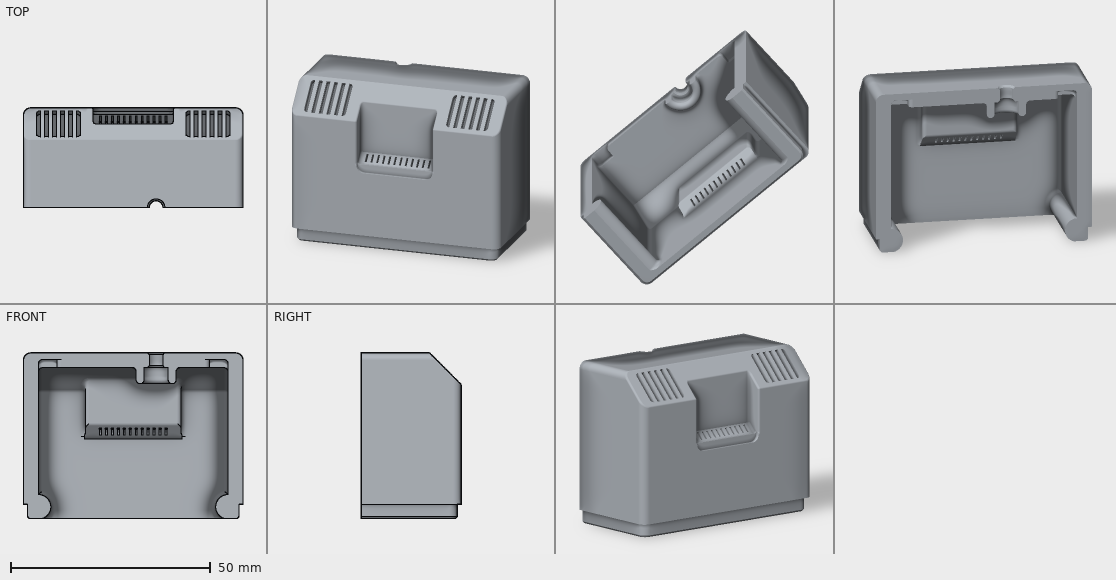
import cadquery as cq
import math

WIDTH = 55.0
DEPTH = 25.0
HEIGHT = 41.5
SIDE_WALL = 3.8
ROOF_THICKNESS = 3.75
BACK_WALL = 3.0
THIN_WALL = 2.0
OUTER_RADIUS = 1.9
INNER_RADIUS = 1.0
EDGE_RADIUS = 0.5
SLOPE_SIZE = 8.0
SLOPE_WALL = 3.3

LIP_HEIGHT = 3.6
LIP_INSET = 1.0

PIN_RADIUS = 3.1
PIN_Z = 2.95

CORNER_POCKET_INNER_X = 19.05
CORNER_POCKET_DEPTH = 3.0
CORNER_POCKET_TOP = 39.8

HOLE_X = 5.7
HOLE_RADIUS = 1.7
COLLAR_BORE_RADIUS = 3.0
COLLAR_WALL = THIN_WALL
COLLAR_RADIUS = COLLAR_BORE_RADIUS + COLLAR_WALL
COLLAR_BOTTOM = 33.75

RECESS_HALF_WIDTH = 10.0
RECESS_DEPTH = 4.0
RECESS_RADIUS = 0.55
RECESS_FLOOR_DEPTH = 1.7
RECESS_FLOOR_Z = 22.0
OPENING_DEPTH = 1.0
OPENING_DROP = THIN_WALL
OPENING_RADIUS = OPENING_DROP
UNDERSIDE_Z = 19.9
UNDERSIDE_OVERHANG = 0.15
CONTACT_COUNT = 12
CONTACT_SPAN = 16.5
CONTACT_WIDTH = 0.5
CONTACT_LENGTH = 2.25
CONTACT_CENTRE_Z = 21.8

GRILLE_X = 18.7
GRILLE_WIDTH = 11.0
GRILLE_LENGTH = 9.1
GRILLE_DEPTH = 1.25
GRILLE_SLOT_COUNT = 6
GRILLE_SLOT_WIDTH = 1.0
GRILLE_RADIUS = 0.95
GRILLE_Y = 21.0


MARGIN = 0.55

HALF_WIDTH = WIDTH / 2
INNER_HALF_WIDTH = HALF_WIDTH - SIDE_WALL
CEILING_Z = HEIGHT - ROOF_THICKNESS
BACK_Y = DEPTH - BACK_WALL
SLOPE_SUM = DEPTH + HEIGHT - SLOPE_SIZE
INNER_SLOPE_SUM = SLOPE_SUM - SLOPE_WALL * math.sqrt(2)
RECESS_BACK_Y = DEPTH - RECESS_DEPTH
HOUSING_FRONT_Y = RECESS_BACK_Y - THIN_WALL
HOUSING_HALF_WIDTH = RECESS_HALF_WIDTH + THIN_WALL
RECESS_SLOPE_SUM = DEPTH - RECESS_FLOOR_DEPTH + RECESS_FLOOR_Z
UNDERSIDE_SUM = RECESS_SLOPE_SUM - THIN_WALL * math.sqrt(2)
SLOPE_NORMAL = cq.Vector(0, 1, 1)
SLOPE_FACE = cq.selectors.DirectionMinMaxSelector(SLOPE_NORMAL, True)


def box(x_range, y_range, z_range):
    """Box between the given coordinate pairs."""
    (x0, x1), (y0, y1), (z0, z1) = x_range, y_range, z_range
    return cq.Workplane("XY").box(x1 - x0, y1 - y0, z1 - z0, centered=False).translate((x0, y0, z0))


def prism(points, half_width):
    """Extrude a (y, z) outline symmetrically along x."""
    return cq.Workplane("YZ").polyline(points).close().extrude(half_width, both=True)


def slope_plane(x, y, z):
    """Plane facing up and back at 45 degrees, with its local x along the part's x."""
    return cq.Plane(origin=(x, y, z), xDir=(1, 0, 0), normal=(0, 1, 1))


def make_outer_body():
    """Solid outside shape: rounded block with a bevelled back edge and a stepped-in lip."""
    body = box((-HALF_WIDTH, HALF_WIDTH), (0, DEPTH), (LIP_HEIGHT, HEIGHT))
    body = body.edges("(>X or <X) and (>Y or >Z)").edges("|Z or |Y").fillet(OUTER_RADIUS)
    above_slope = prism(
        [(DEPTH, SLOPE_SUM - DEPTH), (SLOPE_SUM - HEIGHT, HEIGHT), (DEPTH, HEIGHT)], WIDTH
    )
    body = body.cut(above_slope)
    body = body.faces(SLOPE_FACE).edges().fillet(EDGE_RADIUS)
    lip_half_width = HALF_WIDTH - LIP_INSET
    lip = box((-lip_half_width, lip_half_width), (0, DEPTH - LIP_INSET), (0, 2 * LIP_HEIGHT))
    lip = lip.edges("|Z and >Y").fillet(OUTER_RADIUS)
    lip = lip.faces("<Z").edges("not <Y").chamfer(EDGE_RADIUS)
    return body.union(lip)


def make_cavity():
    """Inner hollow, with the connector housing left standing in it."""
    cavity = prism(
        [
            (0, 0),
            (BACK_Y, 0),
            (BACK_Y, INNER_SLOPE_SUM - BACK_Y),
            (INNER_SLOPE_SUM - CEILING_Z, CEILING_Z),
            (0, CEILING_Z),
        ],
        INNER_HALF_WIDTH,
    )
    corners = "((<X or >X) and (not <Y) and (not <Z)) or (|X and >Y and (not <Z))"
    cavity = cavity.edges(corners).fillet(INNER_RADIUS)
    housing = box(
        (-HOUSING_HALF_WIDTH, HOUSING_HALF_WIDTH),
        (HOUSING_FRONT_Y, DEPTH),
        (UNDERSIDE_SUM - BACK_Y, HEIGHT),
    )
    housing = housing.edges("|Z and <Y").fillet(INNER_RADIUS)
    cavity = cavity.cut(housing)
    foot_zone = cq.selectors.BoxSelector(
        (-HOUSING_HALF_WIDTH - MARGIN, HOUSING_FRONT_Y - MARGIN, UNDERSIDE_SUM - BACK_Y + MARGIN),
        (HOUSING_HALF_WIDTH + MARGIN, BACK_Y + MARGIN, CEILING_Z - MARGIN),
    )
    foot = cavity.edges(foot_zone).edges("(not |Z) or >Y")
    return foot.fillet(INNER_RADIUS)


def make_corner_pocket(side):
    """Shallow pocket in the roof beside a side wall; side is -1 or 1."""
    x_range = sorted((side * CORNER_POCKET_INNER_X, side * INNER_HALF_WIDTH))
    z_range = (CEILING_Z - INNER_RADIUS, CORNER_POCKET_TOP)
    wall_face = ">X" if side > 0 else "<X"
    pocket = box(x_range, (0, CORNER_POCKET_DEPTH), z_range)
    pocket = pocket.edges(f"{wall_face} and ((|Z and >Y) or (|Y and >Z))").fillet(INNER_RADIUS)
    inner_x = side * CORNER_POCKET_INNER_X
    mouth_x = inner_x - side * INNER_RADIUS
    mouth = (
        cq.Workplane("XY", origin=(0, 0, z_range[0]))
        .moveTo(mouth_x, 0)
        .radiusArc((inner_x, INNER_RADIUS), side * -INNER_RADIUS)
        .lineTo(inner_x, 0)
        .close()
        .extrude(z_range[1] - z_range[0])
    )
    return pocket.union(mouth)


def make_pin(side):
    """Round pin along a side wall, flared where it meets the back wall."""
    flare_y = BACK_Y - INNER_RADIUS
    flare_radius = PIN_RADIUS + INNER_RADIUS
    flare_middle = INNER_RADIUS * (1 - math.sqrt(0.5))
    profile = (
        cq.Workplane("XY")
        .moveTo(0, 0)
        .lineTo(PIN_RADIUS, 0)
        .lineTo(PIN_RADIUS, flare_y)
        .threePointArc((PIN_RADIUS + flare_middle, BACK_Y - flare_middle), (flare_radius, BACK_Y))
        .lineTo(0, BACK_Y)
        .close()
    )
    pin = profile.revolve(360, (0, 0, 0), (0, 1, 0)).translate((side * INNER_HALF_WIDTH, 0, PIN_Z))
    inner_half = box(
        sorted((side * (HALF_WIDTH - LIP_INSET - EDGE_RADIUS), 0)), (0, DEPTH), (0, 2 * flare_radius)
    )
    return pin.intersect(inner_half)


def make_collar():
    """Half-round collar under the roof, with a rounded rim and a filleted root."""
    rim_z = COLLAR_BOTTOM + COLLAR_WALL / 2
    root_z = CEILING_Z - INNER_RADIUS
    root_middle = INNER_RADIUS * (1 - math.sqrt(0.5))
    profile = (
        cq.Workplane("XZ")
        .moveTo(COLLAR_BORE_RADIUS, CEILING_Z)
        .lineTo(COLLAR_BORE_RADIUS, rim_z)
        .threePointArc((COLLAR_BORE_RADIUS + COLLAR_WALL / 2, COLLAR_BOTTOM), (COLLAR_RADIUS, rim_z))
        .lineTo(COLLAR_RADIUS, root_z)
        .threePointArc(
            (COLLAR_RADIUS + root_middle, CEILING_Z - root_middle),
            (COLLAR_RADIUS + INNER_RADIUS, CEILING_Z),
        )
        .close()
    )
    ring = profile.revolve(360, (0, 0, 0), (0, 1, 0)).translate((HOLE_X, 0, 0))
    back_half = box((-WIDTH, WIDTH), (0, DEPTH), (0, HEIGHT))
    return ring.intersect(back_half)


def make_roof_hole():
    """Turned shape of the roof hole, chamfered at both ends."""
    chamfer_radius = HOLE_RADIUS + EDGE_RADIUS
    profile = [
        (0, HEIGHT),
        (chamfer_radius, HEIGHT),
        (HOLE_RADIUS, HEIGHT - EDGE_RADIUS),
        (HOLE_RADIUS, CEILING_Z + EDGE_RADIUS),
        (chamfer_radius, CEILING_Z),
        (0, CEILING_Z),
    ]
    turned = cq.Workplane("XZ").polyline(profile).close().revolve(360, (0, 0, 0), (0, 1, 0))
    return turned.translate((HOLE_X, 0, 0))


def make_underside_cut():
    """Space below the sloped underside of the connector housing, nicking the back wall."""
    corner_z = UNDERSIDE_SUM - HOUSING_FRONT_Y
    half_turn = math.pi / 8
    tangent = INNER_RADIUS * math.tan(half_turn)
    diagonal_tangent = tangent * math.sqrt(0.5)
    centre_y = HOUSING_FRONT_Y + INNER_RADIUS
    centre_z = corner_z + tangent
    arc_middle = (
        centre_y - INNER_RADIUS * math.cos(half_turn),
        centre_z - INNER_RADIUS * math.sin(half_turn),
    )
    outline = (
        cq.Workplane("YZ")
        .moveTo(HOUSING_FRONT_Y, UNDERSIDE_Z)
        .lineTo(HOUSING_FRONT_Y, centre_z)
        .threePointArc(arc_middle, (HOUSING_FRONT_Y + diagonal_tangent, corner_z - diagonal_tangent))
        .lineTo(UNDERSIDE_SUM - UNDERSIDE_Z, UNDERSIDE_Z)
        .close()
    )
    return outline.extrude(HOUSING_HALF_WIDTH + UNDERSIDE_OVERHANG, both=True)


def make_recess():
    """Connector recess, open to the back and to the slope."""
    return prism(
        [
            (DEPTH, RECESS_FLOOR_Z),
            (DEPTH - RECESS_FLOOR_DEPTH, RECESS_FLOOR_Z),
            (RECESS_BACK_Y, RECESS_SLOPE_SUM - RECESS_BACK_Y),
            (RECESS_BACK_Y, HEIGHT),
            (DEPTH, HEIGHT),
        ],
        RECESS_HALF_WIDTH,
    ).edges("(<X or >X) and (not >Y) and (not >Z)").fillet(RECESS_RADIUS)


def make_opening():
    """Shallow opening in the back face, reaching below the recess floor."""
    opening = box(
        (-RECESS_HALF_WIDTH, RECESS_HALF_WIDTH),
        (DEPTH - OPENING_DEPTH, DEPTH),
        (RECESS_FLOOR_Z - OPENING_DROP, SLOPE_SUM - DEPTH),
    )
    return opening.edges("|Y and <Z").fillet(OPENING_RADIUS)


def make_contact_slots():
    """Row of narrow slots through the sloped floor of the recess."""
    plane = slope_plane(0, UNDERSIDE_SUM - CONTACT_CENTRE_Z, CONTACT_CENTRE_Z)
    pitch = CONTACT_SPAN / (CONTACT_COUNT - 1)
    return (
        cq.Workplane(plane)
        .rarray(pitch, 0.55, CONTACT_COUNT, 1)
        .rect(CONTACT_WIDTH, CONTACT_LENGTH)
        .extrude(THIN_WALL + MARGIN, both=True)
    )


def make_grille(side):
    """Blind grille of parallel slots within a rounded rectangle."""
    plane = slope_plane(side * GRILLE_X, GRILLE_Y, SLOPE_SUM - GRILLE_Y)
    slot_pitch = (GRILLE_WIDTH - GRILLE_SLOT_WIDTH) / (GRILLE_SLOT_COUNT - 1)
    outline = (
        cq.Workplane(plane)
        .rect(GRILLE_WIDTH, GRILLE_LENGTH)
        .extrude(-GRILLE_DEPTH)
        .edges(cq.selectors.ParallelDirSelector(SLOPE_NORMAL))
        .fillet(GRILLE_RADIUS)
    )
    slots = (
        cq.Workplane(plane)
        .rarray(slot_pitch, 0.55, GRILLE_SLOT_COUNT, 1)
        .rect(GRILLE_SLOT_WIDTH, GRILLE_LENGTH)
        .extrude(-GRILLE_DEPTH)
    )
    return outline.intersect(slots)


def make_shell():
    """Outer body with the recess, its rim on the slope rounded, and the cavity."""
    body = make_outer_body().cut(make_recess())
    rim_zone = cq.selectors.BoxSelector(
        (-RECESS_HALF_WIDTH - MARGIN, RECESS_BACK_Y - MARGIN, SLOPE_SUM - DEPTH),
        (RECESS_HALF_WIDTH + MARGIN, DEPTH - MARGIN, HEIGHT - MARGIN),
    )
    rim = body.faces(SLOPE_FACE).edges(rim_zone)
    return rim.fillet(EDGE_RADIUS).cut(make_opening()).cut(make_cavity())


result = make_shell()
for side in (-1, 1):
    result = result.cut(make_corner_pocket(side))
    result = result.union(make_pin(side))
    result = result.cut(make_grille(side))
result = result.cut(make_roof_hole())
result = result.union(make_collar())
result = result.cut(make_underside_cut())
result = result.cut(make_contact_slots())